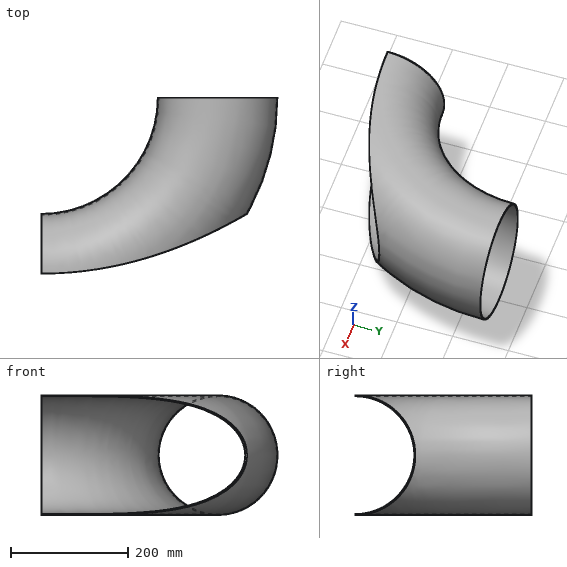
import cadquery as cq

outer_radius = 102.0
wall = 2.0
bend_radius = 300.0
bend_angle = 90

inner_radius = outer_radius - wall
reach = bend_radius + outer_radius


def make_elbow():
    """Hollow elbow that starts along +X at the origin and ends facing +Y."""
    return (
        cq.Workplane("YZ")
        .circle(outer_radius)
        .circle(inner_radius)
        .revolve(bend_angle, (bend_radius, 0, 0), (bend_radius, 1, 0))
    )


def make_kept_region():
    """Block on the bend-axis side of the mitre where the elbow meets a straight pipe.

    An elbow tangent to an equal straight pipe along X meets it on the parabola
    y = x**2 / (4 * bend_radius), whatever the height. A quadratic Bezier curve
    reproduces that parabola exactly.
    """
    parabola_end_y = reach**2 / (4 * bend_radius)
    return (
        cq.Workplane("XY")
        .moveTo(0, 0)
        .bezier([(0, 0), (reach / 2, 0), (reach, parabola_end_y)])
        .lineTo(reach, bend_radius)
        .lineTo(0, bend_radius)
        .close()
        .extrude(outer_radius, both=True)
    )


result = make_elbow().intersect(make_kept_region())